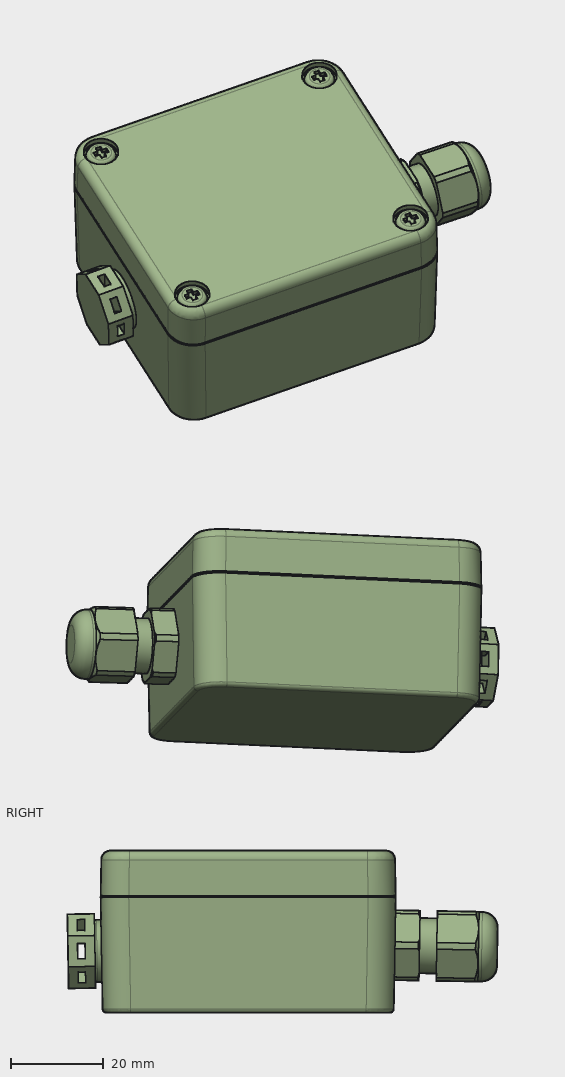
import cadquery as cq
import math

box_width = 57.9
box_length = 63.7
box_height = 35.0
parting_height = 24.9
draft_angle = 1.0
corner_radius = 6.0
lid_edge_radius = 2.0
base_edge_radius = 0.9
seam_height = 0.4
seam_depth = 0.4

screw_spacing_x = 46.0
screw_spacing_y = 52.1
screw_head_diameter = 6.5
screw_head_height = 1.1
screw_edge_radius = 1.0
counterbore_diameter = 7.5
counterbore_depth = 1.3
cross_length = 3.1
cross_width = 1.1
cross_depth = 0.9

gland_height = 14.6
gland_sides = 6
gland_hex_across_flats = 15.1
gland_corner_diameter = 16.7
gland_neck_diameter = 12.0
gland_dome_diameter = 15.0
gland_dome_radius = 3.4
gland_flange_end = 5.3
gland_flange_chamfer = 0.3
gland_nut_start = 9.0
gland_nut_end = 18.0
gland_nut_chamfer = 0.65
gland_tip = 22.1

plug_height = 13.4
plug_collar_diameter = 13.5
plug_collar_length = 1.4
plug_collar_radius = 0.4
plug_across_flats = 16.1
plug_length = 7.2
plug_sides = 8
slot_width = 3.25
slot_height = 1.6

draft = math.radians(draft_angle)
draft_slope = math.tan(draft)
lid_height = box_height - parting_height


def wall_location(side, height):
    """Frame on the drafted wall at side = +1 (+Y) or -1 (-Y), its Z axis pointing straight out."""
    wall_y = box_length / 2 - (parting_height - height) * draft_slope
    normal = (0, side * math.cos(draft), -math.sin(draft))
    return cq.Location(cq.Plane(origin=(0, side * wall_y, height), xDir=(1, 0, 0), normal=normal))


def polygon_prism(sides, across_flats, start, end):
    """Regular prism along Z between two heights, with one pair of flats facing +Y and -Y."""
    corner_diameter = across_flats / math.cos(math.pi / sides)
    prism = cq.Workplane("XY").polygon(sides, corner_diameter).extrude(end - start)
    alignment_angle = 0 if sides % 4 else 180 / sides
    return prism.rotate((0, 0, 0), (0, 0, 1), alignment_angle).translate((0, 0, start))


def drafted_block(height, direction):
    """Block growing up (+1) or down (-1) from the parting plane, with corners of constant radius."""
    parting_plane = cq.Plane(origin=(0, 0, parting_height), xDir=(1, 0, 0), normal=(0, 0, direction))
    block = cq.Workplane(parting_plane).rect(box_width, box_length).extrude(height, taper=draft_angle)
    return block.edges("not(|X or |Y)").fillet(corner_radius)


def make_base():
    base = drafted_block(parting_height, -1).faces("<Z").edges().fillet(base_edge_radius)
    return base.solids().val()


def make_seam():
    """Ring that is cut away around the foot of the lid."""
    foot = cq.Workplane("XY").workplane(offset=parting_height)
    outer = foot.rect(box_width, box_length).extrude(seam_height)
    core = foot.rect(box_width - 2 * seam_depth, box_length - 2 * seam_depth).extrude(seam_height)
    return outer.cut(core.edges("|Z").fillet(corner_radius - seam_depth))


def screw_points(height):
    return (
        cq.Workplane("XY")
        .workplane(offset=height)
        .rect(screw_spacing_x, screw_spacing_y, forConstruction=True)
        .vertices()
    )


def make_lid():
    lid = drafted_block(lid_height, 1).faces(">Z").edges().fillet(lid_edge_radius)
    counterbores = (
        screw_points(box_height - counterbore_depth)
        .circle(counterbore_diameter / 2)
        .extrude(counterbore_depth)
    )
    return lid.cut(make_seam()).cut(counterbores).solids().val()


def make_screw(center):
    """Rounded screw head resting on the floor of its counterbore, with a cross recess."""
    head = cq.Workplane("XY").circle(screw_head_diameter / 2).extrude(screw_head_height)
    head = head.faces(">Z").edges().fillet(screw_edge_radius)
    top = cq.Workplane("XY").workplane(offset=screw_head_height)
    for length, width in ((cross_length, cross_width), (cross_width, cross_length)):
        head = head.cut(top.rect(length, width).extrude(-cross_depth))
    return head.translate(center).solids().val()


def turned_hexagon(start, end, end_radius, end_chamfer):
    """Hexagon along Z, turned down at its corners and sloping to end_radius at its outer end."""
    limit_radius = gland_corner_diameter / 2
    envelope = (
        cq.Workplane("XZ")
        .moveTo(0, start)
        .lineTo(limit_radius, start)
        .lineTo(limit_radius, end - end_chamfer)
        .lineTo(end_radius, end)
        .lineTo(0, end)
        .close()
        .revolve(360, (0, 0, 0), (0, 1, 0))
    )
    return polygon_prism(gland_sides, gland_hex_across_flats, start, end).intersect(envelope)


def make_gland():
    dome_radius = gland_dome_diameter / 2
    flange_end_radius = gland_corner_diameter / 2 - gland_flange_chamfer
    flange = turned_hexagon(0, gland_flange_end, flange_end_radius, gland_flange_chamfer)
    neck = cq.Workplane("XY").circle(gland_neck_diameter / 2).extrude(gland_nut_start)
    nut = turned_hexagon(gland_nut_start, gland_nut_end, dome_radius, gland_nut_chamfer)
    dome = (
        cq.Workplane("XY")
        .workplane(offset=gland_nut_end)
        .circle(dome_radius)
        .extrude(gland_tip - gland_nut_end)
        .faces(">Z")
        .edges()
        .fillet(gland_dome_radius)
    )
    gland = flange.union(neck).union(nut).union(dome)
    return gland.solids().val().moved(wall_location(1, gland_height))


def make_plug():
    collar = cq.Workplane("XY").circle(plug_collar_diameter / 2).extrude(plug_collar_length)
    collar = collar.faces(">Z").edges().fillet(plug_collar_radius)
    plug = collar.union(polygon_prism(plug_sides, plug_across_flats, plug_collar_length, plug_length))
    slot_middle = (plug_collar_length + plug_length) / 2
    slot = cq.Workplane("XY").box(2 * plug_across_flats, slot_width, slot_height)
    slot = slot.translate((0, 0, slot_middle))
    for index in range(plug_sides // 2):
        plug = plug.cut(slot.rotate((0, 0, 0), (0, 0, 1), index * 360 / plug_sides))
    return plug.solids().val().moved(wall_location(-1, plug_height))


base = make_base()
lid = make_lid()
screws = [make_screw(point.toTuple()) for point in screw_points(box_height - counterbore_depth).vals()]
gland = make_gland()
plug = make_plug()

result = cq.Compound.makeCompound([base, lid, *screws, gland, plug])